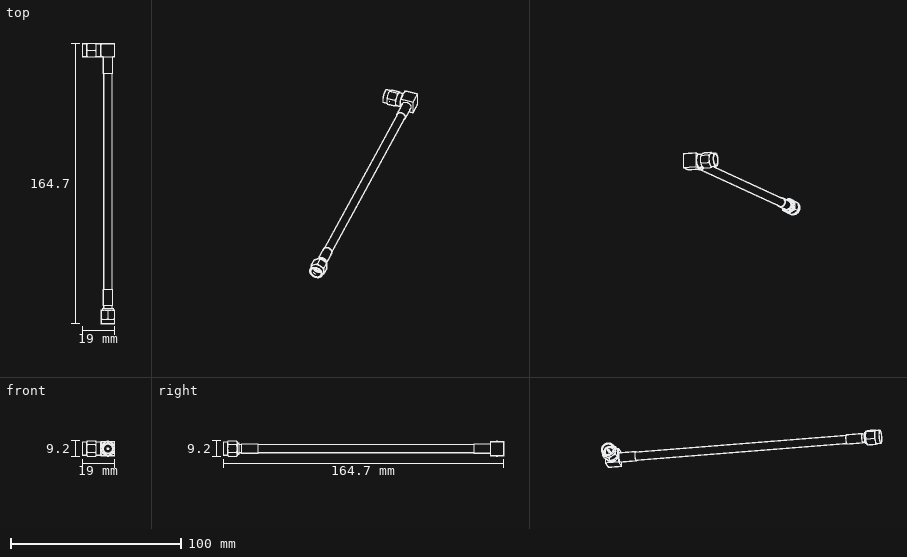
import cadquery as cq
import math

TOTAL_LENGTH = 164.7
TOTAL_WIDTH = 19.0

NUT_SIDES = 6
NUT_CORNER_DIAMETER = 9.2
NUT_ACROSS_FLATS = NUT_CORNER_DIAMETER * math.cos(math.pi / NUT_SIDES)
NUT_FRONT = 2.3
NUT_LENGTH = 6.0
NUT_BACK = NUT_FRONT + NUT_LENGTH
NUT_FACE_DIAMETER = 7.2
NUT_CHAMFER_ANGLE = 30
BARREL_DIAMETER = 7.9
BORE_DIAMETER = 6.5
BORE_DEPTH = 4.0
SOCKET_DIAMETER = 5.3
SOCKET_DEPTH = 4.6
PIN_DIAMETER = 1.0
PIN_RECESS = 1.5

SLEEVE_DIAMETER = 5.6
SLEEVE_LENGTH = 9.5
CABLE_DIAMETER = 5.0

FLANGE_DIAMETER = 6.6
FLANGE_BACK = 9.0
NECK_DIAMETER = 5.0
STRAIGHT_SLEEVE_FRONT = 10.7
STRAIGHT_END = STRAIGHT_SLEEVE_FRONT + SLEEVE_LENGTH

BLOCK_WIDTH = 7.9
BLOCK_HEIGHT = 8.4
ANGLE_NECK_LENGTH = 0.3
BLOCK_CENTER_Y = TOTAL_LENGTH - NUT_ACROSS_FLATS / 2
BLOCK_FRONT_Y = BLOCK_CENTER_Y - BLOCK_WIDTH / 2
ANGLE_FACE_X = NUT_ACROSS_FLATS / 2 - TOTAL_WIDTH
ANGLE_BARREL_LENGTH = -ANGLE_FACE_X - BLOCK_WIDTH / 2 - ANGLE_NECK_LENGTH
ANGLE_END = BLOCK_FRONT_Y - SLEEVE_LENGTH


def cylinder_y(diameter, start, end):
    """Cylinder on the Y axis from y = start to y = end."""
    return cq.Workplane("XZ", origin=(0, start, 0)).circle(diameter / 2).extrude(start - end)


def chamfered_nut():
    """Hexagon nut on the Y axis, corners up and down, with both ends turned to a cone."""
    corner_radius = NUT_CORNER_DIAMETER / 2
    face_radius = NUT_FACE_DIAMETER / 2
    cone_length = (corner_radius - face_radius) * math.tan(math.radians(NUT_CHAMFER_ANGLE))
    hexagon = (
        cq.Workplane("XZ", origin=(0, NUT_FRONT, 0))
        .transformed(rotate=(0, 0, 90))
        .polygon(NUT_SIDES, NUT_CORNER_DIAMETER)
        .extrude(-NUT_LENGTH)
    )
    turned_envelope = (
        cq.Workplane("XY")
        .moveTo(0, NUT_FRONT)
        .lineTo(face_radius, NUT_FRONT)
        .lineTo(corner_radius, NUT_FRONT + cone_length)
        .lineTo(corner_radius, NUT_BACK - cone_length)
        .lineTo(face_radius, NUT_BACK)
        .lineTo(0, NUT_BACK)
        .close()
        .revolve(360, (0, 0, 0), (0, 1, 0))
    )
    return hexagon.intersect(turned_envelope)


def coupling(barrel_length):
    """Nut, barrel, bore and pin on the Y axis, open toward -Y at y = 0."""
    body = chamfered_nut().union(cylinder_y(BARREL_DIAMETER, 0, barrel_length))
    body = body.cut(cylinder_y(BORE_DIAMETER, 0, BORE_DEPTH))
    body = body.cut(cylinder_y(SOCKET_DIAMETER, 0, SOCKET_DEPTH))
    return body.union(cylinder_y(PIN_DIAMETER, PIN_RECESS, NUT_BACK))


def make_straight_connector():
    flange = cylinder_y(FLANGE_DIAMETER, NUT_BACK, FLANGE_BACK)
    neck = cylinder_y(NECK_DIAMETER, FLANGE_BACK, STRAIGHT_SLEEVE_FRONT)
    sleeve = cylinder_y(SLEEVE_DIAMETER, STRAIGHT_SLEEVE_FRONT, STRAIGHT_END)
    return coupling(NUT_BACK).union(flange).union(neck).union(sleeve)


def make_angle_connector():
    block = cq.Workplane("XY").box(BLOCK_WIDTH, BLOCK_WIDTH, BLOCK_HEIGHT)
    block = block.translate((0, BLOCK_CENTER_Y, 0))
    neck = cylinder_y(FLANGE_DIAMETER, ANGLE_BARREL_LENGTH, ANGLE_BARREL_LENGTH + ANGLE_NECK_LENGTH)
    side_coupling = (
        coupling(ANGLE_BARREL_LENGTH)
        .union(neck)
        .rotate((0, 0, 0), (0, 0, 1), -90)
        .translate((ANGLE_FACE_X, BLOCK_CENTER_Y, 0))
    )
    sleeve = cylinder_y(SLEEVE_DIAMETER, ANGLE_END, BLOCK_FRONT_Y)
    return block.union(side_coupling).union(sleeve)


def make_cable():
    """Cable that butts against the end of each crimp sleeve."""
    return cylinder_y(CABLE_DIAMETER, STRAIGHT_END, ANGLE_END)


straight_connector = make_straight_connector()
angle_connector = make_angle_connector()
cable = make_cable()

result = cq.Compound.makeCompound([straight_connector.val(), angle_connector.val(), cable.val()])